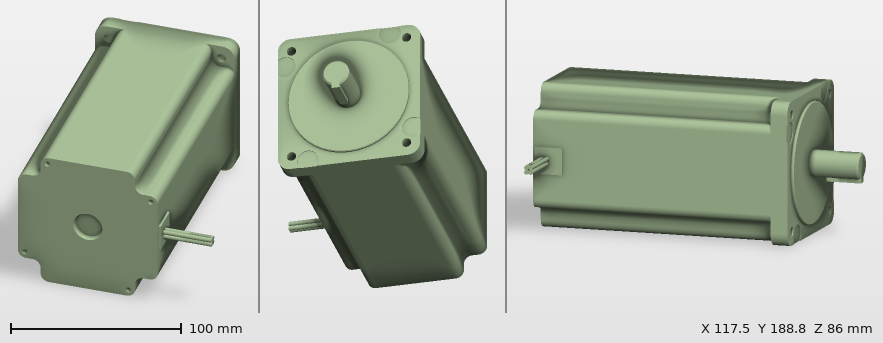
import cadquery as cq
import math


SIDE = 86.0
BODY_LENGTH = 157.0
FLANGE_THICKNESS = 10.3
FLANGE_CORNER_RADIUS = 7.5

RELIEF_WIDTH = 14.0
RELIEF_RADIUS = 5.0

MOUNT_PITCH = 69.6
MOUNT_DIAMETER = 5.6

SCREW_LONG_OFFSET = 38.8
SCREW_SHORT_OFFSET = 24.9
SCREW_HOLE_DIAMETER = 3.4
SCREW_HOLE_DEPTH = 3.0
SCREW_SEAT_DIAMETER = 13.0
SCREW_SEAT_DEPTH = 0.5

PILOT_DIAMETER = 73.0
PILOT_HEIGHT = 1.75
PILOT_CHAMFER = 0.5

SHAFT_DIAMETER = 16.0
SHAFT_LENGTH = 30.0
SHAFT_CHAMFER = 1.0
KEY_WIDTH = 5.0
KEY_END_RADIUS = 2.49
KEY_LENGTH = 22.2
KEY_REACH = 10.0

RECESS_DIAMETER = 18.0
RECESS_FLOOR_DIAMETER = SHAFT_DIAMETER
RECESS_DEPTH = 3.0

OUTLET_LENGTH = 17.0
OUTLET_HEIGHT = 16.0
OUTLET_THICKNESS = 1.5
OUTLET_REAR_MARGIN = 1.4
WIRE_DIAMETER = 2.65
WIRE_PITCH = 2.75
WIRE_LENGTH = 30.0
WIRE_REAR_OFFSET = 7.7

HALF_SIDE = SIDE / 2
REAR_Y = -BODY_LENGTH
SHAFT_TIP_Y = PILOT_HEIGHT + SHAFT_LENGTH


def section_at(y):
    """Sketch plane across the shaft axis; positive extrusion runs toward -Y."""
    return cq.Workplane("XZ", origin=(0, y, 0))


def cylinder(diameter, y_front, length, x=0.0, z=0.0):
    """Cylinder parallel to the shaft, running from y_front toward -Y."""
    return section_at(y_front).center(x, z).circle(diameter / 2).extrude(length)


def housing():
    block = section_at(0).rect(SIDE, SIDE).extrude(BODY_LENGTH)
    return block.edges("|Y").fillet(FLANGE_CORNER_RADIUS)


def corner_relief():
    """Cutter for the (+X, +Z) corner: S-shaped walls that flare out to both sides."""
    wall = HALF_SIDE - RELIEF_WIDTH
    flare_end = wall - RELIEF_RADIUS
    flare_start = HALF_SIDE - RELIEF_RADIUS
    inner_start = wall + RELIEF_RADIUS
    arc_inset = RELIEF_RADIUS * (1 - math.cos(math.pi / 4))
    outline = (
        section_at(-FLANGE_THICKNESS)
        .moveTo(flare_end, HALF_SIDE)
        .threePointArc((wall - arc_inset, HALF_SIDE - arc_inset), (wall, flare_start))
        .lineTo(wall, inner_start)
        .threePointArc((wall + arc_inset, wall + arc_inset), (inner_start, wall))
        .lineTo(flare_start, wall)
        .threePointArc((HALF_SIDE - arc_inset, wall - arc_inset), (HALF_SIDE, flare_end))
        .lineTo(HALF_SIDE, HALF_SIDE)
        .close()
    )
    return outline.extrude(BODY_LENGTH - FLANGE_THICKNESS)


def corner_cuts():
    """Everything removed at one corner: relief, mounting hole, screw hole and screw seat."""
    mount = MOUNT_PITCH / 2
    screw = (SCREW_LONG_OFFSET, SCREW_SHORT_OFFSET)
    return [
        corner_relief(),
        cylinder(MOUNT_DIAMETER, 0, FLANGE_THICKNESS, mount, mount),
        cylinder(SCREW_HOLE_DIAMETER, REAR_Y + SCREW_HOLE_DEPTH, SCREW_HOLE_DEPTH, *screw),
        cylinder(SCREW_SEAT_DIAMETER, 0, SCREW_SEAT_DEPTH, *screw),
    ]


def rear_recess():
    return (
        section_at(REAR_Y + RECESS_DEPTH)
        .circle(RECESS_FLOOR_DIAMETER / 2)
        .workplane(offset=RECESS_DEPTH)
        .circle(RECESS_DIAMETER / 2)
        .loft()
    )


def pilot():
    return cylinder(PILOT_DIAMETER, PILOT_HEIGHT, PILOT_HEIGHT).faces(">Y").chamfer(PILOT_CHAMFER)


def shaft():
    return cylinder(SHAFT_DIAMETER, SHAFT_TIP_Y, SHAFT_TIP_Y).faces(">Y").chamfer(SHAFT_CHAMFER)


def key():
    """Key below the shaft, flush with its tip and rounded at the inner end."""
    bar = (
        cq.Workplane("XY", origin=(0, SHAFT_TIP_Y - KEY_LENGTH / 2, -KEY_REACH))
        .rect(KEY_WIDTH, KEY_LENGTH)
        .extrude(KEY_WIDTH)
    )
    return bar.edges("|Z and <Y").fillet(KEY_END_RADIUS)


def cable():
    """Outlet plate with a two-by-two bundle of wires leaving along +X."""
    outlet_y = REAR_Y + OUTLET_REAR_MARGIN + OUTLET_LENGTH / 2
    plate = (
        cq.Workplane("YZ", origin=(HALF_SIDE, outlet_y, 0))
        .rect(OUTLET_LENGTH, OUTLET_HEIGHT)
        .extrude(OUTLET_THICKNESS)
    )
    wires = (
        cq.Workplane("YZ", origin=(HALF_SIDE + OUTLET_THICKNESS, REAR_Y + WIRE_REAR_OFFSET, 0))
        .rarray(WIRE_PITCH, WIRE_PITCH, 2, 2)
        .circle(WIRE_DIAMETER / 2)
        .extrude(WIRE_LENGTH)
    )
    return plate.union(wires)


result = housing()
for quarter_turn in range(4):
    for cutter in corner_cuts():
        result = result.cut(cutter.rotate((0, 0, 0), (0, 1, 0), 90 * quarter_turn))
result = result.cut(rear_recess())
for addition in (pilot(), shaft(), key(), cable()):
    result = result.union(addition)